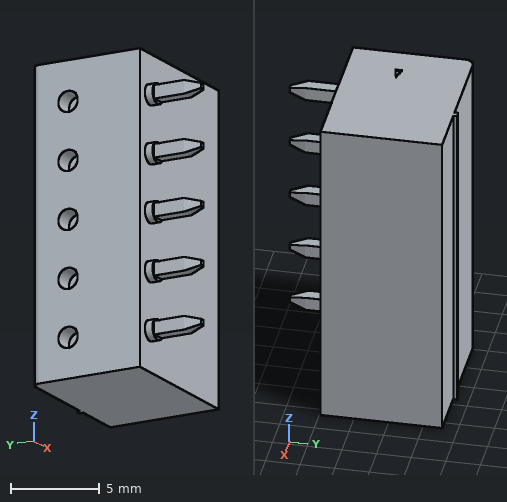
import cadquery as cq

body_length = 9.2
body_depth = 7.03
body_height = 18.9
edge_radius = 0.53

contact_count = 5
contact_pitch = 3.5

pin_x = 1.2
collar_diameter = 1.23
collar_length = 0.5
shaft_width = 0.81
pin_length = 3.38
tip_length = 0.96
tip_width = 0.3
shaft_length = pin_length - collar_length - tip_length

hole_y = 4.65
hole_diameter = 1.25
hole_depth = 1.25

rib_x = 5.65
rib_width = 0.4
rib_height = 0.23
rib_radius = 0.15

mark_x = 1.85
mark_y = 3.02
mark_length = 0.75
mark_width = 0.4
mark_depth = 0.1

contact_heights = [
    body_height / 2 + (i - (contact_count - 1) / 2) * contact_pitch
    for i in range(contact_count)
]


def housing():
    block = cq.Workplane("XY").box(body_length, body_depth, body_height, centered=False)
    block = block.edges("|Z and <X and >Y").fillet(edge_radius)
    rib = (
        cq.Workplane("XY")
        .box(rib_width, 2 * rib_height, body_height, centered=False)
        .edges("|Z and <X and >Y")
        .fillet(rib_radius)
        .translate((rib_x, body_depth - rib_height, 0))
    )
    return block.union(rib)


def pin(z):
    centre = cq.Workplane("XZ").center(pin_x, z)
    collar = centre.circle(collar_diameter / 2).extrude(collar_length)
    shaft = (
        centre.workplane(offset=collar_length)
        .rect(shaft_width, shaft_width)
        .extrude(shaft_length)
    )
    tip = (
        centre.workplane(offset=collar_length + shaft_length)
        .rect(shaft_width, shaft_width)
        .workplane(offset=tip_length)
        .rect(tip_width, tip_width)
        .loft()
    )
    return collar.union(shaft).union(tip)


def contact_hole(z):
    return cq.Workplane("YZ").center(hole_y, z).circle(hole_diameter / 2).extrude(hole_depth)


def pin_one_mark():
    return (
        cq.Workplane("XY", origin=(mark_x, mark_y, body_height))
        .polyline([(0, mark_width / 2), (0, -mark_width / 2), (mark_length, 0)])
        .close()
        .extrude(-mark_depth)
    )


result = housing().cut(pin_one_mark())
for height in contact_heights:
    result = result.union(pin(height)).cut(contact_hole(height))